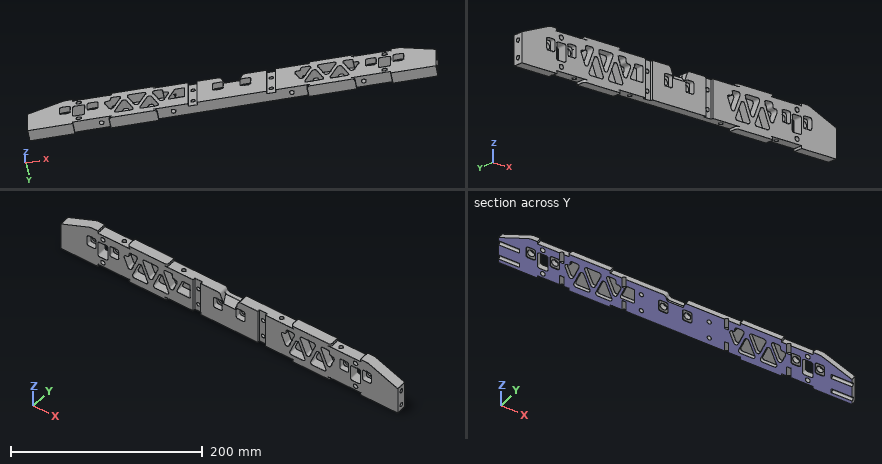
import cadquery as cq
import math

LENGTH = 432.56
THICKNESS = 12.7
HEIGHT = 50.8
HALF_LENGTH = LENGTH / 2
HALF_HEIGHT = HEIGHT / 2
FRONT_Y = -THICKNESS / 2
BACK_Y = THICKNESS / 2

END_FACE_HEIGHT = 34.925
END_SLOPE_RUN = 38.4
END_SLOPE_RADIUS = 12.7

STEP_DEPTH = 3.175
SHOULDER_LENGTH = 47.9
TAB_CENTER_X = 104.8
TAB_LENGTH = 50.8
TAB_CORNER_RADIUS = 3.175
STEPPED_TOP_Z = HALF_HEIGHT - STEP_DEPTH

NOTCH_LEDGE_Z = 16.2
NOTCH_LEDGE_HALF_WIDTH = 9.8
NOTCH_WALL_ANGLE = 20.0
NOTCH_TOP_RADIUS = 3.8
NOTCH_LEDGE_RADIUS = 3.175
NOTCH_LEDGE_DEPTH = 5.3
NOTCH_RAMP_ANGLE = 43.0

WINDOW_X = 162.0
WINDOW_WIDTH = 12.7
WINDOW_HEIGHT = 20.4
WINDOW_RADIUS = 2.4
WINDOW_HOLE_DIAMETER = 5.4
WINDOW_HOLE_Z = 16.3

BOLT_HALF_SPACING = 14.6
BOLT_Z = 5.0
BOLT_DIAMETER = 8.2
RECESS_WIDTH = 11.2
RECESS_HEIGHT = 14.1
RECESS_DEPTH = 6.7
RECESS_RADIUS = 2.4

GROOVE_X = 41.5
GROOVE_WIDTH = 9.525
GROOVE_DEPTH = 3.0
GROOVE_HOLE_DIAMETER = 4.6
GROOVE_HOLE_ZS = (9.5, -12.5)

EDGE_HOLE_DIAMETER = 4.6
EDGE_HOLE_DEPTH = 12.7
EDGE_HOLE_XS = (62.7, 138.9)
END_HOLE_DEPTH = 25.4
END_HOLE_ZS = (1.9, -17.7)

TRUSS_CENTER_X = 100.8
TRUSS_PITCH = 26.8
TRUSS_BASE_Z = 16.1
TRUSS_HALF_ANGLE = 22.0
TRUSS_TRIANGLE_HEIGHT = 27.3
TRUSS_CORNER_RADIUS = 2.6
TRUSS_POCKET_DEPTH = 10.16
CLIPPED_CORNER_X = 1.0
CLIPPED_CORNER_Z = 9.6

SIDE_POCKET_RIGHT_X = -50.0
SIDE_POCKET_TOP_WIDTH = 10.2
SIDE_POCKET_TOP_Z = 12.4
SIDE_POCKET_BOTTOM_Z = -6.2
SIDE_POCKET_RADIUS = 1.5

SIDES = (-1, 1)


def front_plane(y):
    """Sketch plane facing -Y at the given depth: local x is X and local y is Z."""
    return cq.Workplane("XZ", origin=(0, y, 0))


def cutter_from_front(sketch_points, depth):
    """Prism of the given outline reaching inward from the front face."""
    return front_plane(FRONT_Y).polyline(sketch_points).close().extrude(-depth)


def box_from_front(center_x, center_z, width, height, depth, radius):
    """Round-cornered rectangular prism reaching inward from the front face."""
    blank = front_plane(FRONT_Y).center(center_x, center_z).rect(width, height).extrude(-depth)
    return blank.edges("|Y").fillet(radius)


def make_bar():
    """Plain bar with both upper ends sloped and blended into the top."""
    bar = cq.Workplane("XY").box(LENGTH, THICKNESS, HEIGHT)
    slope_start_z = END_FACE_HEIGHT - HALF_HEIGHT
    slope_end_x = HALF_LENGTH - END_SLOPE_RUN
    for side in SIDES:
        corner = cutter_from_front(
            [
                (side * HALF_LENGTH, slope_start_z),
                (side * HALF_LENGTH, HALF_HEIGHT),
                (side * slope_end_x, HALF_HEIGHT),
            ],
            THICKNESS,
        )
        bar = bar.cut(corner)
        slope_edge = cq.selectors.NearestToPointSelector((side * slope_end_x, 0, HALF_HEIGHT))
        bar = bar.edges("|Y").edges(slope_edge).fillet(END_SLOPE_RADIUS)
    return bar


def step_long_edges(bar):
    """Lower both long edges between the end shoulders, then add the tabs back."""
    stepped_length = LENGTH - 2 * SHOULDER_LENGTH
    for side in SIDES:
        band_z = side * (HALF_HEIGHT - STEP_DEPTH / 2)
        band = cq.Workplane("XY").box(stepped_length, THICKNESS, STEP_DEPTH)
        bar = bar.cut(band.translate((0, 0, band_z)))
    for side in SIDES:
        tab = cq.Workplane("XY").box(TAB_LENGTH, THICKNESS, HEIGHT)
        tab = tab.edges("|Z and <Y").fillet(TAB_CORNER_RADIUS)
        core = cq.Workplane("XY").box(TAB_LENGTH, THICKNESS, 2 * STEPPED_TOP_Z)
        bar = bar.union(tab.cut(core).translate((side * TAB_CENTER_X, 0, 0)))
    return bar


def notch_half_width(z):
    """Half width between the flaring notch walls at height z."""
    flare = math.tan(math.radians(NOTCH_WALL_ANGLE))
    return NOTCH_LEDGE_HALF_WIDTH + (z - NOTCH_LEDGE_Z) * flare


def flared_outline(bottom_z):
    """Notch outline from the stepped top edge down to bottom_z."""
    top_half = notch_half_width(STEPPED_TOP_Z)
    bottom_half = notch_half_width(bottom_z)
    return [
        (-top_half, STEPPED_TOP_Z),
        (-bottom_half, bottom_z),
        (bottom_half, bottom_z),
        (top_half, STEPPED_TOP_Z),
    ]


def cut_notch(bar):
    """Flared notch with a flat ledge at the back and a ramp falling to the front."""
    ledge_cut = cutter_from_front(flared_outline(NOTCH_LEDGE_Z), THICKNESS)
    ledge_cut = ledge_cut.edges("|Y and <Z").fillet(NOTCH_LEDGE_RADIUS)
    bar = bar.cut(ledge_cut)
    for side in SIDES:
        rim_point = (side * notch_half_width(STEPPED_TOP_Z), 0, STEPPED_TOP_Z)
        rim = cq.selectors.NearestToPointSelector(rim_point)
        bar = bar.edges("|Y").edges(rim).fillet(NOTCH_TOP_RADIUS)

    ramp_start_y = BACK_Y - NOTCH_LEDGE_DEPTH
    ramp_run = THICKNESS - NOTCH_LEDGE_DEPTH
    ramp_foot_z = NOTCH_LEDGE_Z - ramp_run * math.tan(math.radians(NOTCH_RAMP_ANGLE))
    ramp_top_z = NOTCH_LEDGE_Z + NOTCH_LEDGE_RADIUS
    ramp_side = (
        cq.Workplane("YZ")
        .polyline(
            [
                (FRONT_Y, ramp_foot_z),
                (ramp_start_y, NOTCH_LEDGE_Z),
                (ramp_start_y, ramp_top_z),
                (FRONT_Y, ramp_top_z),
            ]
        )
        .close()
        .extrude(notch_half_width(STEPPED_TOP_Z), both=True)
    )
    ramp_cut = cutter_from_front(flared_outline(ramp_foot_z), THICKNESS).intersect(ramp_side)
    return bar.cut(ramp_cut)


def drill_through(bar, points, diameter):
    """Round holes along Y through the whole thickness at (x, z) points."""
    holes = front_plane(FRONT_Y).pushPoints(points).circle(diameter / 2).extrude(-THICKNESS)
    return bar.cut(holes)


def cut_windows(bar):
    """Round-cornered window near each end, with a screw hole above and below it."""
    for side in SIDES:
        x = side * WINDOW_X
        bar = bar.cut(box_from_front(x, 0, WINDOW_WIDTH, WINDOW_HEIGHT, THICKNESS, WINDOW_RADIUS))
        screw_points = [(x, WINDOW_HOLE_Z), (x, -WINDOW_HOLE_Z)]
        bar = drill_through(bar, screw_points, WINDOW_HOLE_DIAMETER)
    return bar


def cut_bolt_holes(bar):
    """Bolt holes through the bar, each sunk in a recess from the front."""
    distances = (
        BOLT_HALF_SPACING,
        WINDOW_X - BOLT_HALF_SPACING,
        WINDOW_X + BOLT_HALF_SPACING,
    )
    bolt_points = [(side * distance, BOLT_Z) for side in SIDES for distance in distances]
    for x, z in bolt_points:
        recess = box_from_front(x, z, RECESS_WIDTH, RECESS_HEIGHT, RECESS_DEPTH, RECESS_RADIUS)
        bar = bar.cut(recess)
    return drill_through(bar, bolt_points, BOLT_DIAMETER)


def cut_grooves(bar):
    """Full-height front grooves with two through holes in each."""
    for side in SIDES:
        x = side * GROOVE_X
        groove = front_plane(FRONT_Y).center(x, 0).rect(GROOVE_WIDTH, HEIGHT).extrude(-GROOVE_DEPTH)
        bar = bar.cut(groove)
        bar = drill_through(bar, [(x, z) for z in GROOVE_HOLE_ZS], GROOVE_HOLE_DIAMETER)
    return bar


def blind_hole(mouth, inward, depth):
    """Cylinder running inward from its mouth."""
    return cq.Workplane(cq.Solid.makeCylinder(EDGE_HOLE_DIAMETER / 2, depth, mouth, inward))


def drill_edge_holes(bar):
    """Blind holes along Z in both long edges and along X in both end faces."""
    for side in SIDES:
        for facing in SIDES:
            for distance in EDGE_HOLE_XS:
                mouth = cq.Vector(side * distance, 0, facing * STEPPED_TOP_Z)
                bar = bar.cut(blind_hole(mouth, cq.Vector(0, 0, -facing), EDGE_HOLE_DEPTH))
        for z in END_HOLE_ZS:
            mouth = cq.Vector(side * HALF_LENGTH, 0, z)
            bar = bar.cut(blind_hole(mouth, cq.Vector(-side, 0, 0), END_HOLE_DEPTH))
    return bar


def truss_outline(center_x, pointing):
    """Isosceles triangle; pointing is +1 for apex up and -1 for apex down."""
    half_base = TRUSS_TRIANGLE_HEIGHT * math.tan(math.radians(TRUSS_HALF_ANGLE))
    base_z = -pointing * TRUSS_BASE_Z
    return [
        (center_x - half_base, base_z),
        (center_x + half_base, base_z),
        (center_x, base_z + pointing * TRUSS_TRIANGLE_HEIGHT),
    ]


def clipped_outline(center_x, outward):
    """Apex-down triangle whose outer top corner is cut away in a square step."""
    slope = math.tan(math.radians(TRUSS_HALF_ANGLE))
    apex_z = TRUSS_BASE_Z - TRUSS_TRIANGLE_HEIGHT
    inner_half = TRUSS_TRIANGLE_HEIGHT * slope
    outer_half = (CLIPPED_CORNER_Z - apex_z) * slope
    return [
        (center_x - outward * inner_half, TRUSS_BASE_Z),
        (center_x + outward * CLIPPED_CORNER_X, TRUSS_BASE_Z),
        (center_x + outward * CLIPPED_CORNER_X, CLIPPED_CORNER_Z),
        (center_x + outward * outer_half, CLIPPED_CORNER_Z),
        (center_x, apex_z),
    ]


def cut_truss_pockets(bar):
    """Two upright triangles between three inverted ones, the outer two clipped, on each side."""
    for side in SIDES:
        middle_x = side * TRUSS_CENTER_X
        outlines = [truss_outline(middle_x, -1)]
        for outward in SIDES:
            outlines.append(truss_outline(middle_x + outward * TRUSS_PITCH / 2, 1))
            outlines.append(clipped_outline(middle_x + outward * TRUSS_PITCH, outward))
        for outline in outlines:
            pocket = cutter_from_front(outline, TRUSS_POCKET_DEPTH)
            bar = bar.cut(pocket.edges("|Y").fillet(TRUSS_CORNER_RADIUS))
    return bar


def cut_side_pocket(bar):
    """Trapezoidal pocket between the left-hand row and its neighbouring groove."""
    lean = (SIDE_POCKET_TOP_Z - SIDE_POCKET_BOTTOM_Z) * math.tan(math.radians(TRUSS_HALF_ANGLE))
    top_left_x = SIDE_POCKET_RIGHT_X - SIDE_POCKET_TOP_WIDTH
    outline = [
        (top_left_x, SIDE_POCKET_TOP_Z),
        (SIDE_POCKET_RIGHT_X, SIDE_POCKET_TOP_Z),
        (SIDE_POCKET_RIGHT_X, SIDE_POCKET_BOTTOM_Z),
        (top_left_x - lean, SIDE_POCKET_BOTTOM_Z),
    ]
    pocket = cutter_from_front(outline, TRUSS_POCKET_DEPTH)
    return bar.cut(pocket.edges("|Y").fillet(SIDE_POCKET_RADIUS))


result = make_bar()
result = step_long_edges(result)
result = cut_notch(result)
result = cut_windows(result)
result = cut_bolt_holes(result)
result = cut_grooves(result)
result = drill_edge_holes(result)
result = cut_truss_pockets(result)
result = cut_side_pocket(result)